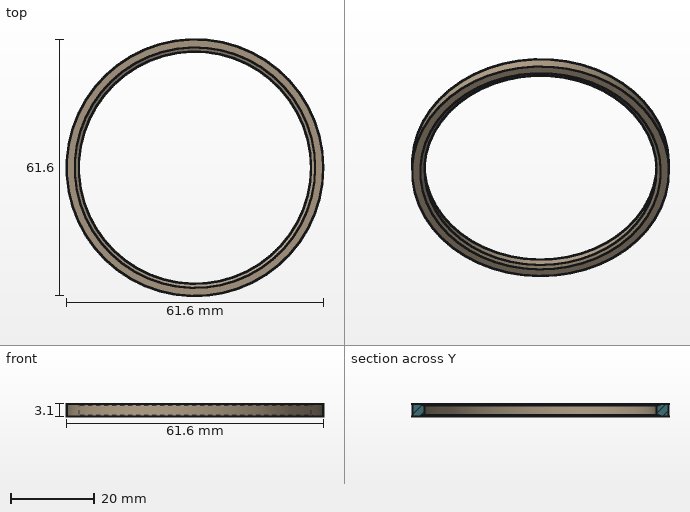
import cadquery as cq

outer_diameter = 61.6
bore_diameter = 55.6
mouth_diameter = 57.65
height = 3.1
bevel_depth = 0.4

outer_radius = outer_diameter / 2
bore_radius = bore_diameter / 2
mouth_radius = mouth_diameter / 2

section = [
    (mouth_radius, 0),
    (outer_radius, 0),
    (outer_radius, height),
    (mouth_radius, height),
    (bore_radius, height - bevel_depth),
    (bore_radius, bevel_depth),
]

result = cq.Workplane("XZ").polyline(section).close().revolve(360, (0, 0), (0, 1))